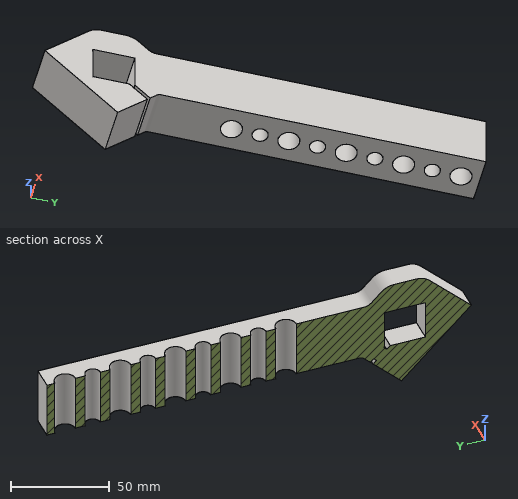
import cadquery as cq
import math

width = 25.0
length = 231.0
height = 64.0

bar_bottom = 21.5
bar_height = 32.5
bar_top = bar_bottom + bar_height

corner_offset = 38.1
top_front_corner = height - corner_offset
top_rear_corner = 46.2
top_round_radius = 10.0
neck_top_radius = 6.0
neck_bottom_radius = 3.0

socket_side = 22.0
socket_front = 25.2
socket_bottom = 25.0
socket_rear = socket_front + socket_side
slot_width = 2.0
slot_length = 27.7

screw_diameter = 8.0
screw_distance_from_socket = 4.6
screw_embed = 1.2

large_hole_diameter = 11.0
small_hole_diameter = 8.0
hole_spacing = 15.0
first_hole_from_end = 10.0
hole_count = 9


def make_body():
    """Bar and head in one profile, extruded across the width, with rounded corners."""
    neck_top = top_rear_corner + height - bar_top
    neck_bottom = corner_offset + bar_bottom
    profile = [
        (0, corner_offset),
        (corner_offset, 0),
        (neck_bottom, bar_bottom),
        (length, bar_bottom),
        (length, bar_top),
        (neck_top, bar_top),
        (top_rear_corner, height),
        (top_front_corner, height),
    ]
    body = cq.Workplane("YZ").polyline(profile).close().extrude(width / 2, both=True)
    rounds = [
        (neck_bottom, bar_bottom, neck_bottom_radius),
        (neck_top, bar_top, neck_top_radius),
        (top_rear_corner, height, top_round_radius),
        (top_front_corner, height, top_round_radius),
    ]
    for y, z, radius in rounds:
        corner_edge = cq.selectors.NearestToPointSelector((0, y, z))
        body = body.edges(corner_edge).fillet(radius)
    return body


def make_socket():
    """Square opening through the head."""
    return (
        cq.Workplane("YZ")
        .rect(socket_side, socket_side)
        .extrude(width / 2, both=True)
        .translate((0, socket_front + socket_side / 2, socket_bottom + socket_side / 2))
    )


def make_slot_plane():
    """Plane on the slot's upper face: local x runs down and out of the socket corner."""
    return cq.Plane(origin=(0, socket_rear, socket_bottom), xDir=(0, 1, -1), normal=(0, -1, -1))


def make_slot():
    """Diagonal cut from the socket corner out through the rear lower flank."""
    return (
        cq.Workplane(make_slot_plane())
        .center(slot_length / 2 - slot_width, 0)
        .rect(slot_length, width)
        .extrude(slot_width)
    )


def make_screw():
    """Round shank across the slot, reaching a little into both faces."""
    return (
        cq.Workplane(make_slot_plane())
        .workplane(offset=-screw_embed)
        .center(screw_distance_from_socket, 0)
        .circle(screw_diameter / 2)
        .extrude(slot_width + 2 * screw_embed)
        .cut(make_socket())
    )


def make_bar_holes():
    """Row of vertical through holes, large ones first and last."""
    holes = cq.Workplane("XY")
    for index in range(hole_count):
        diameter = large_hole_diameter if index % 2 == 0 else small_hole_diameter
        y = length - first_hole_from_end - index * hole_spacing
        hole = cq.Workplane("XY").center(0, y).circle(diameter / 2).extrude(height)
        holes = holes.add(hole)
    return holes.combine()


result = (
    make_body()
    .cut(make_socket())
    .cut(make_slot())
    .union(make_screw())
    .cut(make_bar_holes())
)